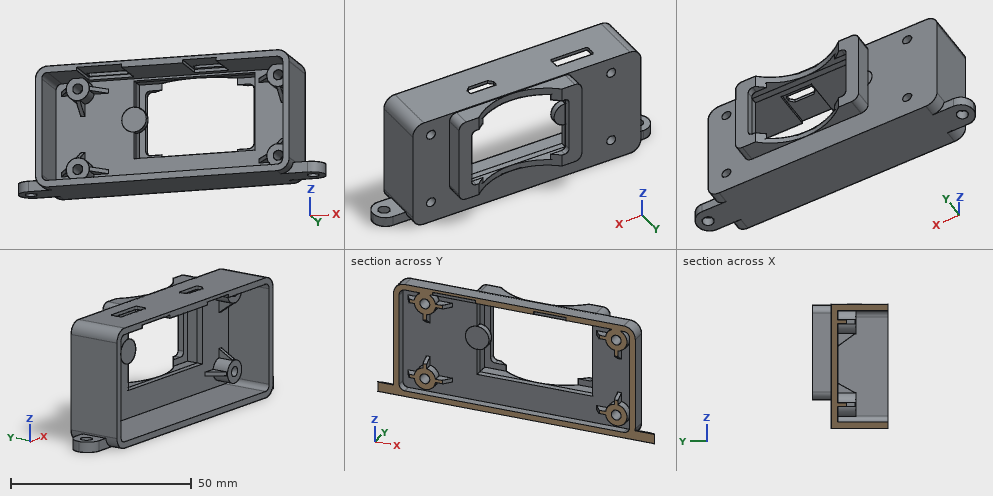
import cadquery as cq
LENGTH = 73.4
DEPTH = 15.8
HEIGHT = 34.5
WALL = 1.9
CORNER_RADIUS = 3.55
FLOOR_Y = DEPTH - WALL
CEILING_Z = HEIGHT - WALL

TAB_WIDTH = 8.1
TAB_THICKNESS = 3.0
TAB_END_RADIUS = 4.0
TAB_HOLE_DIAMETER = 3.3
TAB_HOLE_FROM_END = 3.55
LEFT_TAB_LENGTH = 7.1
RIGHT_TAB_LENGTH = 8.15

POST_DIAMETER = 6.65
POST_HOLE_DIAMETER = 2.8
POST_HEIGHT = 5.0
POST_LEFT_X = -27.1
POST_RIGHT_X = POST_LEFT_X + 58.0
POST_LOW_Z = 6.65
POST_HIGH_Z = POST_LOW_Z + 22.95
RIB_WIDTH = 1.15
RIB_HEIGHT = 4.7
LEFT_POST_REACH_LEFT = 6.2
LEFT_POST_REACH_RIGHT = 7.35
RIB_REACH_DOWN = 6.7
RIB_REACH_UP = 5.9
RIGHT_POST_REACH_LEFT = 7.0

BEZEL_LENGTH = 39.4
BEZEL_HEIGHT = 26.2
BEZEL_DEPTH = 5.2
BEZEL_RADIUS = 2.2
BEZEL_X = 5.1
BEZEL_Z = 21.1
WINDOW_LENGTH = 34.9
WINDOW_HEIGHT = 22.15
WINDOW_Z = 20.9
LIP_THICKNESS = 1.95
LIP_OPENING_LENGTH = 31.3
LIP_OPENING_HEIGHT = 18.4
LIP_OPENING_RADIUS = 1.4
SCOOP_RADIUS = 19.85
SCOOP_FLOOR = 0.04

DISC_DIAMETER = 7.1
DISC_X = BEZEL_X - WINDOW_LENGTH / 2
DISC_Z = 21.0
DISC_THICKNESS = WALL

HDMI_X = -18.3
HDMI_LENGTH = 11.9
HDMI_WIDTH = 3.55
HDMI_Y = DEPTH - 6.3
HDMI_RADIUS = 0.4
HDMI_RELIEF_LENGTH = 12.9
USB_X = 10.7
USB_LENGTH = 8.4
USB_WIDTH = 2.9
USB_Y = DEPTH - 6.9
USB_CHAMFER = 1.15
USB_RADIUS = 0.35
USB_RELIEF_LENGTH = 9.75
RELIEF_DEPTH = 0.9
RELIEF_END_Y = DEPTH - 4.0


def block(x_min, x_max, y_min, y_max, z_min, z_max):
    """Box between two planes along each axis."""
    size = (x_max - x_min, y_max - y_min, z_max - z_min)
    return cq.Workplane().box(*size, centered=False).translate((x_min, y_min, z_min))


def upright_plate(x, z, length, height, y_min, y_max):
    """Rectangular plate centred on (x, z), between two Y planes."""
    return block(x - length / 2, x + length / 2, y_min, y_max, z - height / 2, z + height / 2)


def rod(x, z, diameter, y_min, y_max):
    """Round rod along Y."""
    plane = cq.Workplane("XZ", origin=(x, y_min, z))
    return plane.circle(diameter / 2).extrude(y_min - y_max)


def shell():
    """Outside of the box and the cavity to be cut from it."""
    outer = upright_plate(0, HEIGHT / 2, LENGTH, HEIGHT, 0, DEPTH)
    outer = outer.edges("|Y").fillet(CORNER_RADIUS)
    cavity = upright_plate(0, HEIGHT / 2, LENGTH - 2 * WALL, HEIGHT - 2 * WALL, 0, FLOOR_Y)
    cavity = cavity.edges("|Y").fillet(CORNER_RADIUS - WALL)
    return outer, cavity


def tab(side, length):
    """Rounded tab with a screw hole, reaching from the middle out past one end of the box."""
    end = LENGTH / 2 + length
    body = block(0, end, (DEPTH - TAB_WIDTH) / 2, (DEPTH + TAB_WIDTH) / 2, 0, TAB_THICKNESS)
    body = body.edges("|Z and >X").fillet(TAB_END_RADIUS)
    hole = cq.Workplane().center(end - TAB_HOLE_FROM_END, DEPTH / 2)
    body = body.cut(hole.circle(TAB_HOLE_DIAMETER / 2).extrude(TAB_THICKNESS))
    return body if side > 0 else body.mirror("YZ")


def rib(x, z, reach, angle):
    """Rib tapering from a post to the floor; angle 0 points to +X and 90 to +Z."""
    post_radius = POST_DIAMETER / 2
    tip_y = FLOOR_Y - RIB_HEIGHT
    outline = [(0, FLOOR_Y), (reach, FLOOR_Y), (post_radius, tip_y), (0, tip_y)]
    plate = cq.Workplane().polyline(outline).close().extrude(RIB_WIDTH / 2, both=True)
    return plate.rotate((0, 0, 0), (0, 1, 0), -angle).translate((x, 0, z))


def posts():
    """Four solid posts with their ribs."""
    solid = cq.Workplane()
    for x in (POST_LEFT_X, POST_RIGHT_X):
        for z in (POST_LOW_Z, POST_HIGH_Z):
            arms = [(90, RIB_REACH_UP)] if z == POST_LOW_Z else [(270, RIB_REACH_DOWN)]
            if x == POST_LEFT_X:
                arms += [(180, LEFT_POST_REACH_LEFT), (0, LEFT_POST_REACH_RIGHT)]
            else:
                arms += [(180, RIGHT_POST_REACH_LEFT)]
            solid = solid.add(rod(x, z, POST_DIAMETER, FLOOR_Y - POST_HEIGHT, FLOOR_Y))
            for angle, reach in arms:
                solid = solid.add(rib(x, z, reach, angle))
    return solid.combine()


def post_holes():
    """Screw holes through the posts and the floor."""
    holes = cq.Workplane()
    for x in (POST_LEFT_X, POST_RIGHT_X):
        for z in (POST_LOW_Z, POST_HIGH_Z):
            holes = holes.add(rod(x, z, POST_HOLE_DIAMETER, 0, DEPTH))
    return holes.combine()


def top_wall_block(x, y, length, width, top_z):
    """Block from the ceiling up into the top wall, centred on (x, y)."""
    return block(x - length / 2, x + length / 2, y - width / 2, y + width / 2, CEILING_Z, top_z)


def connector_openings():
    """HDMI and USB openings, each with a relief that thins the wall from the rim inwards."""
    hdmi = top_wall_block(HDMI_X, HDMI_Y, HDMI_LENGTH, HDMI_WIDTH, HEIGHT)
    hdmi = hdmi.edges("|Z").fillet(HDMI_RADIUS)
    usb = top_wall_block(USB_X, USB_Y, USB_LENGTH, USB_WIDTH, HEIGHT)
    usb = usb.edges("|Z and <Y").chamfer(USB_CHAMFER)
    usb = usb.edges("|Z and >Y").fillet(USB_RADIUS)
    cuts = hdmi.union(usb)
    for x, length in ((HDMI_X, HDMI_RELIEF_LENGTH), (USB_X, USB_RELIEF_LENGTH)):
        relief_top = CEILING_Z + RELIEF_DEPTH
        cuts = cuts.union(top_wall_block(x, RELIEF_END_Y / 2, length, RELIEF_END_Y, relief_top))
    return cuts


def make_housing():
    """Box with tabs, posts and openings, notched for the disc."""
    outer, cavity = shell()
    body = outer.union(tab(-1, LEFT_TAB_LENGTH)).union(tab(1, RIGHT_TAB_LENGTH)).cut(cavity)
    body = body.union(posts()).cut(post_holes()).cut(connector_openings())
    window = upright_plate(BEZEL_X, WINDOW_Z, WINDOW_LENGTH, WINDOW_HEIGHT, FLOOR_Y, DEPTH)
    return body.cut(window).cut(make_disc())


def make_bezel():
    """Lipped frame behind the window, scooped along Z by a round hollow."""
    back = DEPTH + BEZEL_DEPTH
    body = upright_plate(BEZEL_X, BEZEL_Z, BEZEL_LENGTH, BEZEL_HEIGHT, DEPTH, back)
    body = body.edges("|Y").fillet(BEZEL_RADIUS)
    pocket = upright_plate(BEZEL_X, WINDOW_Z, WINDOW_LENGTH, WINDOW_HEIGHT, DEPTH, back - LIP_THICKNESS)
    opening = upright_plate(BEZEL_X, WINDOW_Z, LIP_OPENING_LENGTH, LIP_OPENING_HEIGHT, DEPTH, back)
    opening = opening.edges("|Y").fillet(LIP_OPENING_RADIUS)
    scoop = cq.Workplane().center(BEZEL_X, DEPTH + SCOOP_FLOOR + SCOOP_RADIUS)
    scoop = scoop.circle(SCOOP_RADIUS).extrude(HEIGHT)
    return body.cut(pocket).cut(opening).cut(scoop)


def make_disc():
    """Disc flush with the housing floor, half in the wall and half in the window."""
    return rod(DISC_X, DISC_Z, DISC_DIAMETER, FLOOR_Y, FLOOR_Y + DISC_THICKNESS)


housing = make_housing()
bezel = make_bezel()
disc = make_disc()
result = cq.Compound.makeCompound([*housing.vals(), *bezel.vals(), *disc.vals()])